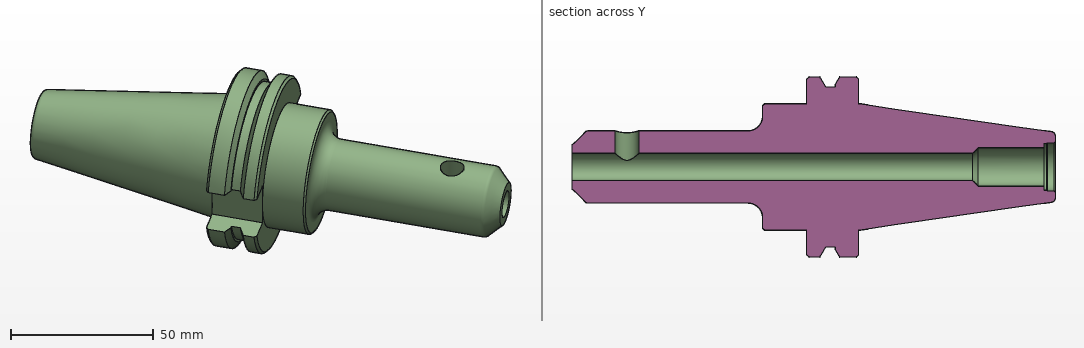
import cadquery as cq
import math

total_length = 169.8
gauge_x = 68.5
gauge_radius = 44.5 / 2
taper_ratio = 7 / 24
taper_end_rounding = 1.9

flange_start_x = 69.1
flange_end_x = 87.5
flange_radius = 63.5 / 2
flange_chamfer = 0.8
groove_floor_radius = 28.2
groove_floor_start_x = 77.5
groove_floor_end_x = 80.7
groove_half_angle = math.radians(30)
groove_step = 0.8

slot_width = 16.8
front_slot_floor = 22.3
back_slot_floor = 25.0

collar_radius = gauge_radius
collar_end_x = 103.0
collar_chamfer = 0.7
neck_fillet = 5.1
shank_radius = 25.5 / 2
shank_end_x = 164.0
shank_edge_rounding = 1.7
nose_radius = 16.8 / 2
nose_chamfer = 0.7

bore_radius = 9.5 / 2
thread_radius = 13.5 / 2
thread_depth = 27.2
counterbore_radius = 16.3 / 2
counterbore_depth = 4.0
pilot_radius = 16.8 / 2
pilot_depth = 2.9
mouth_radius = 9.0
cross_hole_diameter = 8.3
cross_hole_x = 150.5


def make_taper():
    end_radius = gauge_radius - gauge_x * taper_ratio / 2
    taper = (
        cq.Workplane("XY")
        .polyline([(0, 0), (0, end_radius), (gauge_x, gauge_radius),
                   (flange_start_x, gauge_radius), (flange_start_x, 0)])
        .close()
        .revolve(360, (0, 0, 0), (1, 0, 0))
    )
    return taper.faces("<X").edges().fillet(taper_end_rounding)


def make_flange():
    flange_width = flange_end_x - flange_start_x
    disc = (
        cq.Workplane("YZ", origin=(flange_start_x, 0, 0))
        .circle(flange_radius)
        .extrude(flange_width)
        .edges()
        .chamfer(flange_chamfer)
    )
    wall_height = flange_radius - groove_floor_radius
    taper_side_run = (wall_height - groove_step) * math.tan(groove_half_angle)
    shank_side_run = wall_height * math.tan(groove_half_angle)
    groove = (
        cq.Workplane("XY")
        .polyline([
            (groove_floor_start_x - taper_side_run, flange_radius),
            (groove_floor_start_x, groove_floor_radius + groove_step),
            (groove_floor_start_x, groove_floor_radius),
            (groove_floor_end_x, groove_floor_radius),
            (groove_floor_end_x + shank_side_run, flange_radius),
        ])
        .close()
        .revolve(360, (0, 0, 0), (1, 0, 0))
    )
    disc = disc.cut(groove)
    for side, floor in ((-1, front_slot_floor), (1, back_slot_floor)):
        slot = (
            cq.Workplane("XY")
            .box(flange_width, flange_radius, slot_width, centered=(False, True, True))
            .translate((flange_start_x, side * (floor + flange_radius / 2), 0))
        )
        disc = disc.cut(slot)
    return disc


def make_collar_and_shank():
    collar = (
        cq.Workplane("YZ", origin=(flange_end_x, 0, 0))
        .circle(collar_radius)
        .extrude(collar_end_x - flange_end_x)
        .faces(">X")
        .edges()
        .chamfer(collar_chamfer)
    )
    diagonal = math.sqrt(0.5)
    fillet_mid = neck_fillet * (1 - diagonal)
    cone_start_x = shank_end_x + shank_edge_rounding * diagonal
    cone_start_radius = shank_radius - shank_edge_rounding * (1 - diagonal)
    half_arc = math.radians(45) / 2
    rounding_mid = (
        shank_end_x + shank_edge_rounding * math.sin(half_arc),
        shank_radius - shank_edge_rounding * (1 - math.cos(half_arc)),
    )
    cone_end_x = cone_start_x + cone_start_radius - nose_radius
    shank = (
        cq.Workplane("XY")
        .moveTo(flange_end_x, 0)
        .lineTo(flange_end_x, shank_radius + neck_fillet)
        .lineTo(collar_end_x, shank_radius + neck_fillet)
        .threePointArc(
            (collar_end_x + fillet_mid, shank_radius + fillet_mid),
            (collar_end_x + neck_fillet, shank_radius),
        )
        .lineTo(shank_end_x, shank_radius)
        .threePointArc(rounding_mid, (cone_start_x, cone_start_radius))
        .lineTo(cone_end_x, nose_radius)
        .lineTo(total_length, nose_radius - nose_chamfer)
        .lineTo(total_length, 0)
        .close()
        .revolve(360, (0, 0, 0), (1, 0, 0))
    )
    return collar.union(shank)


def make_bore():
    mouth_depth = mouth_radius - pilot_radius
    pilot_cone = pilot_radius - counterbore_radius
    thread_cone = thread_radius - bore_radius
    return (
        cq.Workplane("XY")
        .polyline([
            (0, 0),
            (0, mouth_radius),
            (mouth_depth, pilot_radius),
            (pilot_depth, pilot_radius),
            (pilot_depth + pilot_cone, counterbore_radius),
            (counterbore_depth, counterbore_radius),
            (counterbore_depth, thread_radius),
            (thread_depth, thread_radius),
            (thread_depth + thread_cone, bore_radius),
            (total_length, bore_radius),
            (total_length, 0),
        ])
        .close()
        .revolve(360, (0, 0, 0), (1, 0, 0))
    )


cross_hole = (
    cq.Workplane("XY")
    .center(cross_hole_x, 0)
    .circle(cross_hole_diameter / 2)
    .extrude(shank_radius)
)

result = make_taper().union(make_flange()).union(make_collar_and_shank())
result = result.cut(make_bore()).cut(cross_hole)